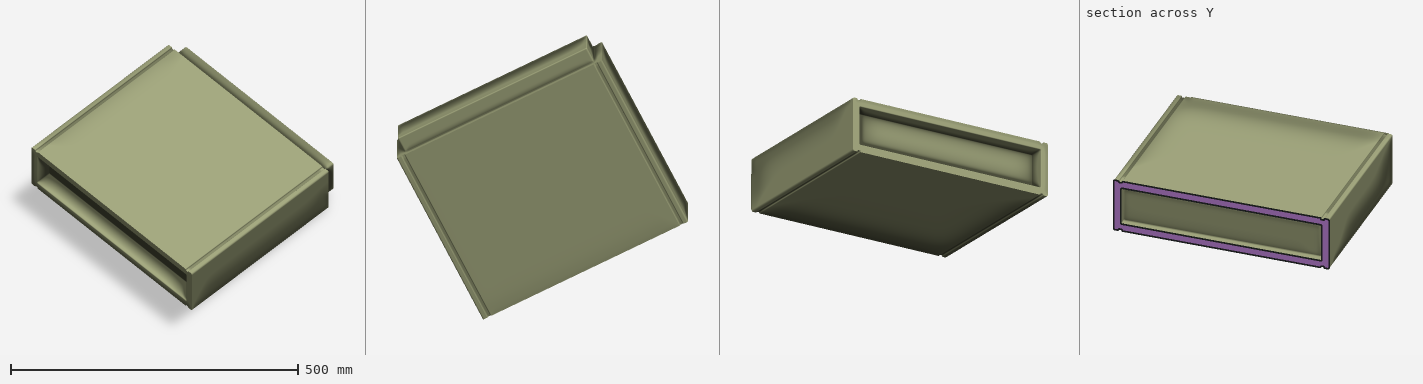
import cadquery as cq

WIDTH = 400.0
LENGTH = 360.0
HEIGHT = 100.0

SPIGOT_LENGTH = 28.0
SPIGOT_WIDTH = 369.0
SPIGOT_HEIGHT = 70.0
SPIGOT_CORNER_RADIUS = 3.0
SPIGOT_END_RADIUS = 2.0
SPIGOT_ROOT_RADIUS = 1.0
SOCKET_WIDTH = 372.0
SOCKET_HEIGHT = 71.0
SOCKET_DEPTH = 30.0
SOCKET_CORNER_RADIUS = 2.0
SOCKET_FLOOR_RADIUS = 1.0
SOCKET_MOUTH_RADIUS = 1.5

BODY_LENGTH = LENGTH - SPIGOT_LENGTH
BODY_EDGE_RADIUS = 3.0
GROOVE_WIDTH = 6.0
GROOVE_DEPTH = 3.0
GROOVE_INSET = 12.5
GROOVE_LIP_RADIUS = 1.5
GROOVE_FLOOR_RADIUS = GROOVE_DEPTH - GROOVE_LIP_RADIUS

FRONT_Y = -LENGTH / 2
BODY_BACK_Y = FRONT_Y + BODY_LENGTH


def block(width, length, height, start_y):
    """Box centred on X and Z that runs in +Y from start_y."""
    return cq.Workplane("XY").box(width, length, height).translate((0, start_y + length / 2, 0))


def make_groove(side, face):
    """Cutter for one groove with S-shaped walls; side and face are -1 or +1."""
    wall_x = GROOVE_WIDTH / 2
    floor_x = wall_x - GROOVE_FLOOR_RADIUS
    mouth_x = wall_x + GROOVE_LIP_RADIUS
    profile = (
        cq.Workplane("XZ")
        .moveTo(-floor_x, -GROOVE_DEPTH)
        .lineTo(floor_x, -GROOVE_DEPTH)
        .radiusArc((wall_x, -GROOVE_LIP_RADIUS), -GROOVE_FLOOR_RADIUS)
        .radiusArc((mouth_x, 0), GROOVE_LIP_RADIUS)
        .lineTo(-mouth_x, 0)
        .radiusArc((-wall_x, -GROOVE_LIP_RADIUS), GROOVE_LIP_RADIUS)
        .radiusArc((-floor_x, -GROOVE_DEPTH), -GROOVE_FLOOR_RADIUS)
        .close()
    )
    groove = profile.extrude(-BODY_LENGTH)
    if face < 0:
        groove = groove.mirror("XY")
    return groove.translate((side * (WIDTH / 2 - GROOVE_INSET), FRONT_Y, face * HEIGHT / 2))


def make_body():
    """Main block with rounded long edges and two grooves in each large face."""
    body = block(WIDTH, BODY_LENGTH, HEIGHT, FRONT_Y).edges("|Y").fillet(BODY_EDGE_RADIUS)
    for side in (-1, 1):
        for face in (-1, 1):
            body = body.cut(make_groove(side, face))
    return body


def end_edges(width, height, y):
    """Selector for the edges of a width by height outline lying at y."""
    margin = 1.0
    half_width = width / 2 + margin
    half_height = height / 2 + margin
    return cq.selectors.BoxSelector(
        (-half_width, y - margin / 2, -half_height), (half_width, y + margin / 2, half_height)
    )


def add_spigot(body):
    """Plug with rounded long edges, a rounded end and a filleted root."""
    spigot = block(SPIGOT_WIDTH, SPIGOT_LENGTH, SPIGOT_HEIGHT, BODY_BACK_Y)
    spigot = spigot.edges("|Y").fillet(SPIGOT_CORNER_RADIUS)
    spigot = spigot.faces(">Y").edges().fillet(SPIGOT_END_RADIUS)
    root = end_edges(SPIGOT_WIDTH, SPIGOT_HEIGHT, BODY_BACK_Y)
    return body.union(spigot).edges(root).fillet(SPIGOT_ROOT_RADIUS)


def cut_socket(body):
    """Socket in the -Y end with a filleted floor and a rounded mouth."""
    socket = block(SOCKET_WIDTH, SOCKET_DEPTH, SOCKET_HEIGHT, FRONT_Y)
    socket = socket.edges("|Y").fillet(SOCKET_CORNER_RADIUS)
    socket = socket.faces(">Y").edges().fillet(SOCKET_FLOOR_RADIUS)
    mouth = end_edges(SOCKET_WIDTH, SOCKET_HEIGHT, FRONT_Y)
    return body.cut(socket).edges(mouth).fillet(SOCKET_MOUTH_RADIUS)


result = cut_socket(add_spigot(make_body()))